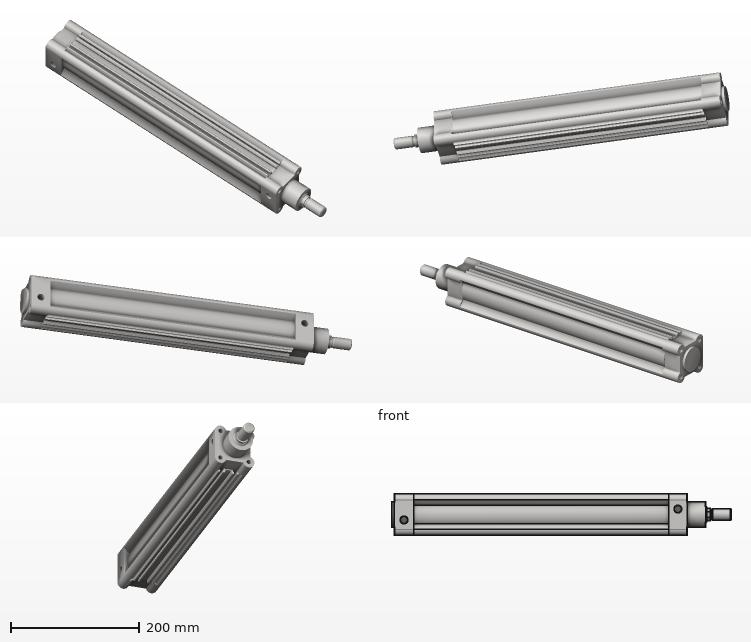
import cadquery as cq
import math


side = 65.0
half_side = side / 2
lobe_radius = 9.25
lobe_offset = half_side - lobe_radius

length = 529.0
cap_start = 4.0
cap_end = 34.5
head_start = 431.0
head_end = 460.0
collar_end = 489.0
wiper_end = 491.0
shoulder = 496.0
thread_start = 498.5

recess_offset = 26.0
screw_hole_radius = 3.5
port_radius = 6.0
port_offset = 8.5
port_depth = 16.0
collar_radius = 20.0
wiper_base_radius = 12.5
wiper_tip_radius = 11.0

barrel_radius = 27.5
flank_foot = 14.5
groove_foot = 18.5
lip_outer_edge = 16.5
lip_inner_edge = 15.0
lip_tip = 13.0
lip_half_height = 1.5
slot_floor = 25.0
hook_tip = 9.0
hook_tip_height = 3.5
hook_stem = 7.5
hook_top = 7.0
hook_shoulder = 5.5
hook_bevel = 2.0

rod_radius = 10.0
wrench_flats = 18.0
neck_radius = 8.0
thread_radius = 9.0
thread_chamfer = 1.5


def yz_plane(x):
    """Sketch plane facing +X, with local axes along Y and Z."""
    return cq.Workplane("YZ", origin=(x, 0, 0))


def disc(radius, start, end):
    return yz_plane(start).circle(radius).extrude(end - start)


def end_block(start, end, port_z):
    """Cap block: four lobes, flat -Y face with a port, recesses on the other three sides."""
    depth = end - start
    corners = [(y, z) for y in (-lobe_offset, lobe_offset) for z in (-lobe_offset, lobe_offset)]
    block = yz_plane(start).rect(2 * recess_offset, 2 * recess_offset).extrude(depth)
    flat_face = yz_plane(start).center(-half_side / 2, 0).rect(half_side, 2 * lobe_offset).extrude(depth)
    block = block.union(flat_face)
    for y, z in corners:
        block = block.union(yz_plane(start).center(y, z).circle(lobe_radius).extrude(depth))
    block = block.cut(yz_plane(start).pushPoints(corners).circle(screw_hole_radius).extrude(depth))
    port = cq.Workplane("XZ", origin=((start + end) / 2, -half_side, port_z)).circle(port_radius)
    return block.cut(port.extrude(-port_depth))


def make_rear_cap():
    centring_disc = disc(collar_radius, 0, cap_start)
    return end_block(cap_start, cap_end, -port_offset).union(centring_disc)


def make_head():
    head = end_block(head_start, head_end, port_offset)
    collar = disc(collar_radius, head_end, collar_end)
    head = head.union(collar)
    wiper = cq.Solid.makeCone(
        wiper_base_radius, wiper_tip_radius, wiper_end - collar_end,
        pnt=cq.Vector(collar_end, 0, 0), dir=cq.Vector(1, 0, 0))
    head = head.union(cq.Workplane(wiper))
    return head.cut(disc(rod_radius, head_start, wiper_end))


def barrel_height(offset):
    """Height of the round barrel surface at a sideways offset from the axis."""
    return math.sqrt(barrel_radius ** 2 - offset ** 2)


def make_barrel():
    """One quarter of the section, extruded and mirrored twice."""
    diagonal = math.sqrt(0.5)
    flank_middle = math.asin(flank_foot / barrel_radius) / 2
    crown_middle = math.acos(hook_shoulder / barrel_radius) / 2 + math.pi / 4
    lobe_middle = lobe_offset + lobe_radius * diagonal
    groove_bottom = half_side - (lobe_offset - groove_foot)
    lip_middle = half_side - lip_half_height
    quarter = (
        yz_plane(cap_end)
        .lineTo(barrel_radius, 0)
        .threePointArc(
            (barrel_radius * math.cos(flank_middle), barrel_radius * math.sin(flank_middle)),
            (barrel_height(flank_foot), flank_foot))
        .lineTo(half_side, lobe_offset)
        .threePointArc((lobe_middle, lobe_middle), (lobe_offset, half_side))
        .lineTo(groove_foot, groove_bottom)
        .lineTo(lip_outer_edge, half_side)
        .lineTo(lip_inner_edge, half_side)
        .lineTo(lip_tip, lip_middle)
        .lineTo(lip_inner_edge, lip_middle - lip_half_height)
        .lineTo(lip_inner_edge, slot_floor)
        .lineTo(hook_stem, slot_floor)
        .lineTo(hook_stem, half_side - hook_tip_height)
        .lineTo(hook_tip, half_side - hook_tip_height)
        .lineTo(hook_tip, half_side)
        .lineTo(hook_top, half_side)
        .lineTo(hook_shoulder, half_side - hook_bevel)
        .lineTo(hook_shoulder, barrel_height(hook_shoulder))
        .threePointArc(
            (barrel_radius * math.cos(crown_middle), barrel_radius * math.sin(crown_middle)),
            (0, barrel_radius))
        .close()
        .extrude(head_start - cap_end)
    )
    upper_half = quarter.union(quarter.mirror("XZ"))
    return upper_half.union(upper_half.mirror("XY"))


def make_rod():
    rod = disc(rod_radius, head_start, shoulder)
    flatted_stretch = yz_plane(wiper_end).rect(wrench_flats, 2 * rod_radius).extrude(shoulder - wiper_end)
    rod = rod.intersect(disc(rod_radius, head_start, wiper_end).union(flatted_stretch))
    rod = rod.union(disc(neck_radius, shoulder, thread_start))
    thread = disc(thread_radius, thread_start, length).faces("<X or >X").chamfer(thread_chamfer)
    return rod.union(thread)


rear_cap = make_rear_cap()
barrel = make_barrel()
head = make_head()
rod = make_rod()

result = cq.Compound.makeCompound([rear_cap.val(), barrel.val(), head.val(), rod.val()])